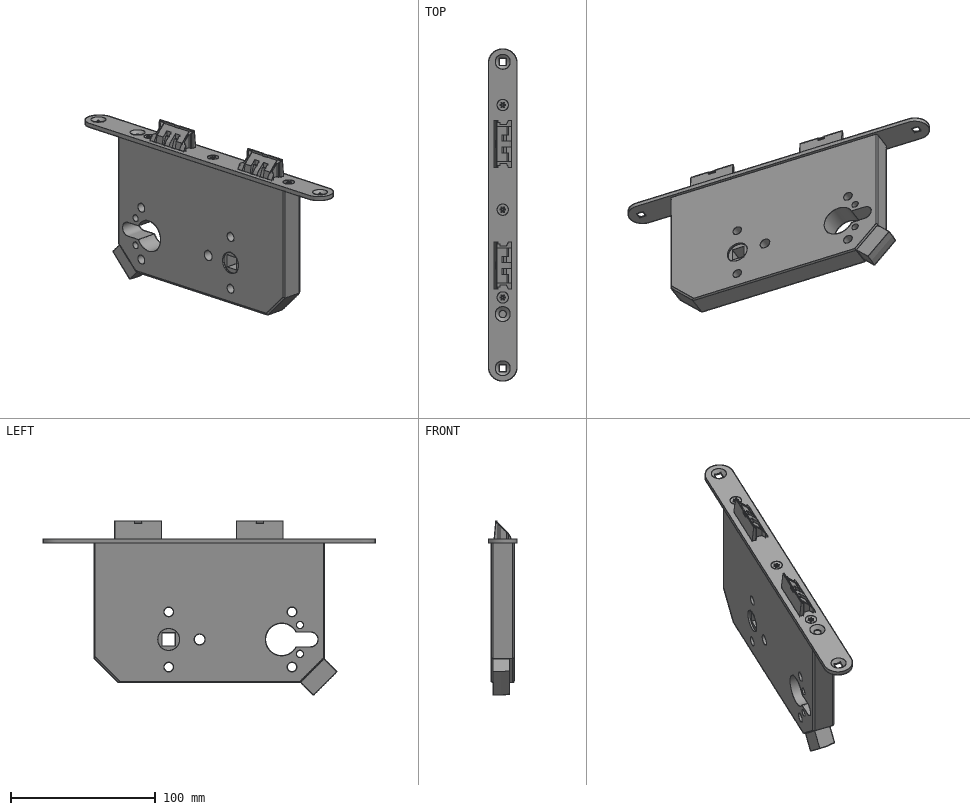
import cadquery as cq


PLATE_LENGTH = 230.0
PLATE_WIDTH = 20.0
PLATE_THICKNESS = 3.0
MOUNTING_HOLE_Y = 106.0
BLIND_HOLE_Y = -68.5
COUNTERSINK_DIAMETER = 10.4
MOUNTING_HOLE_SQUARE = 4.8
BLIND_HOLE_DIAMETER = 5.0
COUNTERSINK_FLOOR_DIAMETER = BLIND_HOLE_DIAMETER
COUNTERSINK_DEPTH = 2.3
SCREW_Y = (76.1, 3.7, -57.0)
SCREW_HEAD_DIAMETER = 7.8
SCREW_HEAD_RECESS = 0.2
SCREW_SLOT_LENGTH = 4.1
SCREW_SLOT_WIDTH = 0.7
SCREW_SLOT_DEPTH = 1.4
SCREW_SLOT_COUNT = 3

CASE_LENGTH = 159.5
CASE_WIDTH = 16.0
CASE_BOTTOM = -99.5
CASE_CORNER = 16.8
CASE_CHAMFER_ON_SIDE = 0.7
CASE_CHAMFER_ON_EDGE = 1.4
FOLLOWER_Y = 28.0
CYLINDER_Y = -50.1
OPENINGS_Z = -69.7
FOLLOWER_SQUARE = 9.0
FOLLOWER_RECESS_DIAMETER = 15.2
FOLLOWER_RECESS_DEPTH = 1.4
FITTING_HOLE_DIAMETER = 6.5
FITTING_HOLE_SPACING = 38.2
SINGLE_HOLE_Y = 6.7
SINGLE_HOLE_DIAMETER = 7.4
CYLINDER_DIAMETER = 22.3
CYLINDER_SLOT_WIDTH = 10.1
CYLINDER_SLOT_END_Y = -75.2
CYLINDER_FITTING_Y = -57.3
CYLINDER_SCREW_Y = -62.8
CYLINDER_SCREW_DIAMETER = 4.8
CYLINDER_SCREW_SPACING = 20.0

LATCH_Y = (49.2, -35.0)
LATCH_LENGTH = 32.5
LATCH_END_Y = LATCH_LENGTH / 2
LATCH_HEIGHT = 12.5
LATCH_HALF_WIDTH = 6.0
BACK_FLANGE_X = 4.0
FLANK_BACK_X = 4.1
TIP_FRONT_X = -4.8
TIP_BACK_X = -4.0
FLANGE_BACK_X = -3.2
NOTCH_FRONT_X = -2.0
NOTCH_BACK_X = 2.5
NOTCH_Y = LATCH_END_Y - 2.8
FRONT_STEP_Y = LATCH_END_Y - 1.4
CHEEK_LENGTH = 4.1
CHEEK_RAMP_HEIGHT = 7.5
RAMP_HEIGHT = 7.1
FLANK_EDGE_X = 3.0
FLANK_SINK = 1.8
RIB_WIDTH = 4.1
RIB_EDGE_X = 4.5
POCKET_LENGTH = 4.1
POCKET_FRONT_X = -0.7
POCKET_EDGE_X = 0.5
POCKET_FOOT_X = 2.8
POCKET_FLOOR_Z = 4.4
TIP_NOTCH_LENGTH = 4.8
TIP_NOTCH_HEIGHT = 1.8
TIP_NOTCH_DEPTH = 0.5

BOLT_LENGTH = 23.0
BOLT_PROJECTION = 12.6
BOLT_X_MIN = -6.7
BOLT_X_MAX = 4.8
BOLT_BEVEL_X = -1.0
BOLT_BEVEL_DROP = 1.0
BOLT_TILT = 135


def latch_block(front_and_top, length):
    """Extrude an X-Z outline, starting on the case, symmetrically along Y."""
    base = [(LATCH_HALF_WIDTH, -PLATE_THICKNESS), (-LATCH_HALF_WIDTH, -PLATE_THICKNESS)]
    outline = cq.Workplane("XZ").polyline(base + front_and_top).close()
    return outline.extrude(length / 2, both=True)


def latch_prism(bottom, top):
    """Upright prism with the latch's plan outline, which has a notch in each end."""
    half_plan = [
        (-LATCH_HALF_WIDTH, LATCH_END_Y),
        (FLANGE_BACK_X, LATCH_END_Y),
        (FLANGE_BACK_X, FRONT_STEP_Y),
        (NOTCH_FRONT_X, FRONT_STEP_Y),
        (NOTCH_FRONT_X, NOTCH_Y),
        (NOTCH_BACK_X, NOTCH_Y),
        (BACK_FLANGE_X, LATCH_END_Y),
        (LATCH_HALF_WIDTH, LATCH_END_Y),
    ]
    other_half = [(x, -y) for x, y in reversed(half_plan)]
    plan = cq.Workplane("XY").workplane(offset=bottom).polyline(half_plan + other_half).close()
    return plan.extrude(top - bottom)


def make_latch():
    """Wedge-shaped latch standing on the case and filling its opening in the faceplate."""
    nose = [
        (-LATCH_HALF_WIDTH, 0),
        (TIP_FRONT_X, LATCH_HEIGHT),
        (TIP_BACK_X, LATCH_HEIGHT),
    ]
    cheek = nose + [
        (TIP_BACK_X, CHEEK_RAMP_HEIGHT - TIP_BACK_X),
        (BACK_FLANGE_X, CHEEK_RAMP_HEIGHT - BACK_FLANGE_X),
        (LATCH_HALF_WIDTH, 0),
    ]
    flank = nose + [
        (TIP_BACK_X, RAMP_HEIGHT - TIP_BACK_X),
        (FLANK_EDGE_X, RAMP_HEIGHT - FLANK_EDGE_X),
        (FLANK_BACK_X, -FLANK_SINK),
        (LATCH_HALF_WIDTH, -FLANK_SINK),
    ]
    rib = nose + [
        (TIP_BACK_X, RAMP_HEIGHT - TIP_BACK_X),
        (RIB_EDGE_X, RAMP_HEIGHT - RIB_EDGE_X),
        (LATCH_HALF_WIDTH, 0),
    ]
    pocket = [
        (POCKET_FRONT_X, LATCH_HEIGHT),
        (POCKET_FRONT_X, POCKET_FLOOR_Z),
        (POCKET_EDGE_X, POCKET_FLOOR_Z),
        (POCKET_FOOT_X, -FLANK_SINK),
        (FLANK_BACK_X, -FLANK_SINK),
        (FLANK_BACK_X, LATCH_HEIGHT),
    ]

    middle_length = LATCH_LENGTH - 2 * CHEEK_LENGTH
    middle = cq.Workplane("XY").box(2 * PLATE_WIDTH, middle_length, 4 * LATCH_HEIGHT)
    latch = latch_block(cheek, LATCH_LENGTH).cut(middle).union(latch_block(flank, middle_length))

    pockets = cq.Workplane("XZ").polyline(pocket).close().extrude(RIB_WIDTH / 2 + POCKET_LENGTH, both=True)
    latch = latch.cut(pockets).union(latch_block(rib, RIB_WIDTH))

    tip_notch = cq.Workplane("XY").box(2 * TIP_NOTCH_DEPTH, TIP_NOTCH_LENGTH, 2 * TIP_NOTCH_HEIGHT)
    latch = latch.cut(tip_notch.translate((TIP_FRONT_X, 0, LATCH_HEIGHT)))

    return latch.intersect(latch_prism(-PLATE_THICKNESS, LATCH_HEIGHT))


def make_faceplate():
    plate = cq.Workplane("XY").slot2D(PLATE_LENGTH, PLATE_WIDTH, 90).extrude(-PLATE_THICKNESS)
    top = cq.Workplane("XY")

    for y in (MOUNTING_HOLE_Y, -MOUNTING_HOLE_Y, BLIND_HOLE_Y):
        cone = cq.Solid.makeCone(
            COUNTERSINK_DIAMETER / 2,
            COUNTERSINK_FLOOR_DIAMETER / 2,
            COUNTERSINK_DEPTH,
            pnt=cq.Vector(0, y, 0),
            dir=cq.Vector(0, 0, -1),
        )
        plate = plate.cut(cq.Workplane(cone))
    for y in (MOUNTING_HOLE_Y, -MOUNTING_HOLE_Y):
        square = top.center(0, y).rect(MOUNTING_HOLE_SQUARE, MOUNTING_HOLE_SQUARE)
        plate = plate.cut(square.extrude(-PLATE_THICKNESS))
    round_hole = top.center(0, BLIND_HOLE_Y).circle(BLIND_HOLE_DIAMETER / 2)
    plate = plate.cut(round_hole.extrude(-PLATE_THICKNESS))

    for y in SCREW_Y:
        head = top.center(0, y).circle(SCREW_HEAD_DIAMETER / 2)
        plate = plate.cut(head.extrude(-SCREW_HEAD_RECESS))
        for i in range(SCREW_SLOT_COUNT):
            angle = i * 180 / SCREW_SLOT_COUNT
            slot = top.center(0, y).slot2D(SCREW_SLOT_LENGTH, SCREW_SLOT_WIDTH, angle)
            plate = plate.cut(slot.extrude(-SCREW_SLOT_DEPTH))

    for y in LATCH_Y:
        plate = plate.cut(latch_prism(-PLATE_THICKNESS, 0).translate((0, y, 0)))
    return plate


def through_case(sketch):
    """Extrude a sketch on the case's middle plane past both of its sides."""
    return sketch.extrude(CASE_WIDTH, both=True)


def make_case():
    half = CASE_LENGTH / 2
    outline = [
        (-half, -PLATE_THICKNESS),
        (-half, CASE_BOTTOM + CASE_CORNER),
        (-half + CASE_CORNER, CASE_BOTTOM),
        (half - CASE_CORNER, CASE_BOTTOM),
        (half, CASE_BOTTOM + CASE_CORNER),
        (half, -PLATE_THICKNESS),
    ]
    side = cq.Workplane("YZ")
    case = side.polyline(outline).close().extrude(CASE_WIDTH / 2, both=True)
    case = case.faces("<X or >X").edges("not >Z").chamfer(CASE_CHAMFER_ON_EDGE, CASE_CHAMFER_ON_SIDE)

    follower = side.center(FOLLOWER_Y, OPENINGS_Z)
    case = case.cut(through_case(follower.rect(FOLLOWER_SQUARE, FOLLOWER_SQUARE)))
    recess = through_case(follower.circle(FOLLOWER_RECESS_DIAMETER / 2))
    floor_width = CASE_WIDTH - 2 * FOLLOWER_RECESS_DEPTH
    core = follower.circle(FOLLOWER_RECESS_DIAMETER / 2).extrude(floor_width / 2, both=True)
    case = case.cut(recess.cut(core))

    cylinder = through_case(side.center(CYLINDER_Y, OPENINGS_Z).circle(CYLINDER_DIAMETER / 2))
    slot_length = CYLINDER_Y - CYLINDER_SLOT_END_Y
    slot_center = (CYLINDER_Y + CYLINDER_SLOT_END_Y) / 2
    slot = through_case(side.center(slot_center, OPENINGS_Z).slot2D(slot_length, CYLINDER_SLOT_WIDTH))
    case = case.cut(cylinder).cut(slot)

    pairs = [
        (FOLLOWER_Y, FITTING_HOLE_SPACING, FITTING_HOLE_DIAMETER),
        (CYLINDER_FITTING_Y, FITTING_HOLE_SPACING, FITTING_HOLE_DIAMETER),
        (CYLINDER_SCREW_Y, CYLINDER_SCREW_SPACING, CYLINDER_SCREW_DIAMETER),
    ]
    for y, spacing, diameter in pairs:
        for direction in (-1, 1):
            z = OPENINGS_Z + direction * spacing / 2
            case = case.cut(through_case(side.center(y, z).circle(diameter / 2)))
    return case.cut(through_case(side.center(SINGLE_HOLE_Y, OPENINGS_Z).circle(SINGLE_HOLE_DIAMETER / 2)))


def make_corner_bolt():
    """Bolt standing on the sloping case corner, its free end bevelled on one side."""
    outline = [
        (BOLT_X_MIN, 0),
        (BOLT_X_MAX, 0),
        (BOLT_X_MAX, BOLT_PROJECTION - BOLT_BEVEL_DROP),
        (BOLT_BEVEL_X, BOLT_PROJECTION),
        (BOLT_X_MIN, BOLT_PROJECTION),
    ]
    upright = cq.Workplane("XZ").polyline(outline).close().extrude(BOLT_LENGTH / 2, both=True)
    corner_y = -(CASE_LENGTH - CASE_CORNER) / 2
    corner_z = CASE_BOTTOM + CASE_CORNER / 2
    return upright.rotate((0, 0, 0), (1, 0, 0), BOLT_TILT).translate((0, corner_y, corner_z))


faceplate = make_faceplate()
case = make_case()
latches = [make_latch().translate((0, y, 0)) for y in LATCH_Y]
corner_bolt = make_corner_bolt()

result = cq.Compound.makeCompound(
    [body.solids().val() for body in (faceplate, case, *latches, corner_bolt)]
)